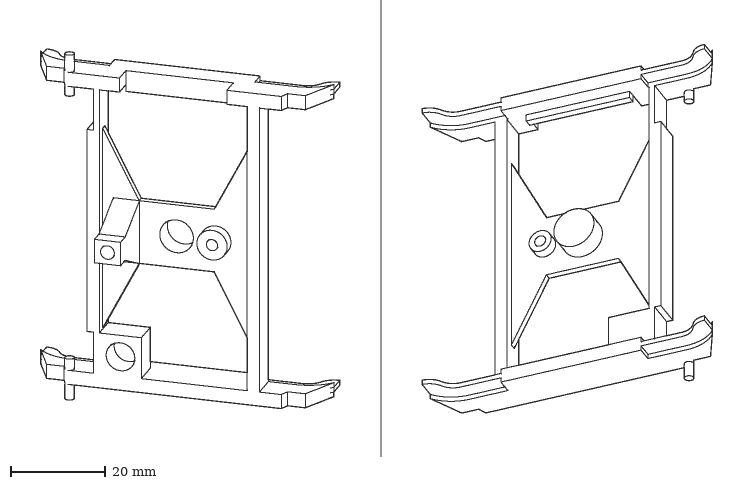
import cadquery as cq

import math


rail_half_length = 32.6
rail_back = 10.1
rail_height = 3.2
rail_center_z = 33.9
rail_front_half = 24.0
step_half = 24.8
end_half = 28.7
step_y = 2.0
end_top_y = 10.0
lip_height = 1.1
lip_tip_y = 14.3
lip_inner_half = 16.2
lip_arc_inner_half = 25.5
lip_arc_outer_half = 25.1

post_back = 6.4
post_outer = 19.15
post_inner = 16.4
thin_post_outer = 17.7
thick_post_top = 23.0

notch_half = 11.9
notch_depth = 4.55
stiffener_bottom = 30.8

web_front = 2.4
web_back = 4.0
web_half_height = 7.15
web_neck_half = 8.3
web_root_half_height = 22.7

socket_d = 9.3
socket_bore_d = 7.45
socket_back = 8.55

screw_x = 8.7
screw_boss_front = -0.2
screw_boss_d = 6.75
screw_back_boss_d = 5.1
screw_hole_d = 2.5

arm_left = -14.05
arm_right = -8.25
arm_tip_y = -11.0
arm_taper_end_y = -7.7
arm_tip_half_height = 2.7
arm_hole_d = 3.1
arm_hole_depth = 7.85

corner_right = -7.1
corner_top = -23.0
corner_hole_d = 6.35
corner_hole_x = -11.7
corner_hole_z = -27.9
blind_floor = 0.8

pin_d = 2.05
pin_length = 9.35
overall_height = 78.5
upper_pin_top = 39.4
lower_pin_bottom = upper_pin_top - overall_height


def box(x_min, x_max, y_min, y_max, z_min, z_max):
    """Box between two limits on each axis."""
    size = (x_max - x_min, y_max - y_min, z_max - z_min)
    return cq.Workplane("XY").box(*size, centered=False).translate((x_min, y_min, z_min))


def cylinder_y(diameter, x, z, y_min, y_max):
    """Cylinder along Y."""
    plane = cq.Workplane("XZ", origin=(x, y_max, z))
    return plane.circle(diameter / 2).extrude(y_max - y_min)


def mirrored_x(solid):
    """Solid joined with its mirror image across X = 0."""
    return solid.union(solid.mirror("YZ"))


def rail_body_half():
    """Full-height left half of a rail, bounded by the curved lower edge of the lip."""
    return (
        cq.Workplane("XY")
        .moveTo(0, rail_back)
        .lineTo(-lip_inner_half, rail_back)
        .lineTo(-lip_inner_half, post_back)
        .lineTo(-lip_arc_outer_half, post_back)
        .tangentArcPoint((-rail_half_length, end_top_y), relative=False)
        .lineTo(-end_half, step_y)
        .lineTo(-step_half, step_y)
        .lineTo(-rail_front_half, 0)
        .lineTo(0, 0)
        .close()
        .extrude(rail_height / 2, both=True)
    )


def rail_lip_half():
    """Thin left lip: a band that sweeps back in an S-curve to a square tip."""
    rise = lip_tip_y - rail_back
    run = rail_half_length - lip_arc_inner_half
    s_radius = (run**2 + rise**2) / (4 * rise)
    s_middle = (-lip_arc_inner_half - run / 2, rail_back + rise / 2)
    return (
        cq.Workplane("XY")
        .moveTo(-lip_inner_half, post_back)
        .lineTo(-lip_arc_outer_half, post_back)
        .tangentArcPoint((-rail_half_length, end_top_y), relative=False)
        .lineTo(-rail_half_length, lip_tip_y)
        .radiusArc(s_middle, s_radius)
        .radiusArc((-lip_arc_inner_half, rail_back), -s_radius)
        .lineTo(-lip_inner_half, rail_back)
        .close()
        .extrude(lip_height / 2, both=True)
    )


def rail(center_z):
    """One complete rail, its front left corner rounded to match the pin."""
    half = rail_body_half().union(rail_lip_half())
    front_left_corner = cq.NearestToPointSelector((-rail_front_half, 0, 0))
    rounded = mirrored_x(half).edges(front_left_corner).fillet(pin_d / 2)
    return rounded.translate((0, 0, center_z))


def notched_rail(center_z):
    """Rail with a stiffener under its middle and a notch in its front."""
    bottom = center_z - rail_height / 2
    top = center_z + rail_height / 2
    stiffener = box(-notch_half, notch_half, notch_depth, post_back, stiffener_bottom, bottom)
    notch = box(-notch_half, notch_half, 0, notch_depth, bottom, top)
    return rail(center_z).union(stiffener).cut(notch)


def posts():
    """Two posts joining the rails; the left one is thicker along its middle."""
    z = rail_center_z
    right = box(post_inner, post_outer, 0, post_back, -z, z)
    left = box(-thin_post_outer, -post_inner, 0, post_back, -z, z)
    thickening = box(-post_outer, -post_inner, 0, post_back, -thick_post_top, thick_post_top)
    return right.union(left).union(thickening)


def web():
    """Thin plate that narrows from each post to a central neck."""
    outline = [
        (-post_inner, web_root_half_height),
        (-web_neck_half, web_half_height),
        (web_neck_half, web_half_height),
        (post_inner, web_root_half_height),
        (post_inner, -web_root_half_height),
        (web_neck_half, -web_half_height),
        (-web_neck_half, -web_half_height),
        (-post_inner, -web_root_half_height),
    ]
    plane = cq.Workplane("XZ", origin=(0, web_back, 0))
    return plane.polyline(outline).close().extrude(web_back - web_front)


def arm():
    """Arm that tapers forward from the web to a square tip."""
    outline = [
        (web_front, web_half_height),
        (arm_taper_end_y, arm_tip_half_height),
        (arm_tip_y, arm_tip_half_height),
        (arm_tip_y, -arm_tip_half_height),
        (arm_taper_end_y, -arm_tip_half_height),
        (web_front, -web_half_height),
    ]
    plane = cq.Workplane("YZ", origin=(arm_left, 0, 0))
    return plane.polyline(outline).close().extrude(arm_right - arm_left)


def corner_block():
    """Block in the lower left corner of the frame."""
    return box(-thin_post_outer, corner_right, 0, post_back, -rail_center_z, corner_top)


def pin(z_min):
    """Pin along Z, concentric with the rounded front left corner of a rail."""
    radius = pin_d / 2
    slant_angle = math.atan2(step_y, step_half - rail_front_half)
    pin_x = -rail_front_half + radius * math.tan(slant_angle / 2)
    plane = cq.Workplane("XY", origin=(pin_x, radius, z_min))
    return plane.circle(radius).extrude(pin_length)


solids = [
    rail(-rail_center_z),
    posts(),
    web(),
    arm(),
    corner_block(),
    cylinder_y(socket_d, 0, 0, web_front, socket_back),
    cylinder_y(screw_boss_d, screw_x, 0, screw_boss_front, web_back),
    cylinder_y(screw_back_boss_d, screw_x, 0, web_front, post_back),
    pin(upper_pin_top - pin_length),
    pin(lower_pin_bottom),
]
bores = [
    cylinder_y(socket_bore_d, 0, 0, web_front, socket_back - blind_floor),
    cylinder_y(screw_hole_d, screw_x, 0, screw_boss_front, post_back),
    cylinder_y(corner_hole_d, corner_hole_x, corner_hole_z, 0, post_back - blind_floor),
    cylinder_y(arm_hole_d, (arm_left + arm_right) / 2, 0, arm_tip_y, arm_tip_y + arm_hole_depth),
]

result = notched_rail(rail_center_z)
for solid in solids:
    result = result.union(solid)
for bore in bores:
    result = result.cut(bore)